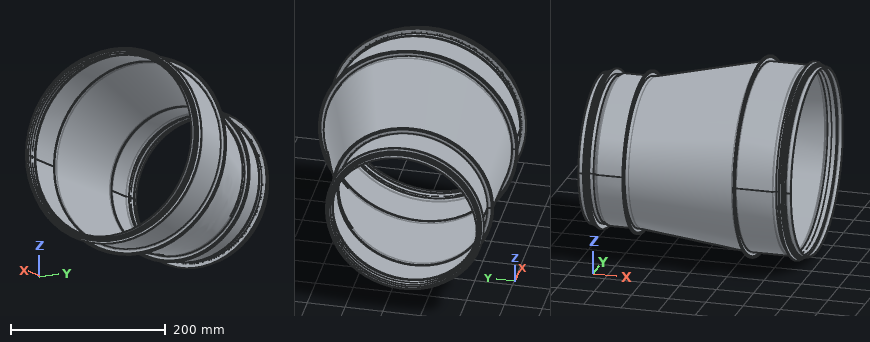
import cadquery as cq
import math


total_length = 286.2
sheet = 0.5
small_diameter = 198.95
large_diameter = 248.9
axis_offset = (large_diameter - small_diameter) / 2

small_collar_length = 62.1
large_collar_length = 74.7
rim_bend = 1.0
rim_straight = 0.125
groove_depth = 2.4
groove_wall_top = 6.3
groove_wall_foot = 7.9
groove_wall_bend = 0.75
ramp_start = 21.5
ramp_end = 24.7
ramp_bend = 1.5
seam_bend = 1.0
seam_gap = 0.1

seam_height = 7.25
cone_flange_height = 5.0
cone_flange_thickness = 2 * sheet

base_height = 0.6
web_height = 1.8
shoulder_height = 3.9
front_lip_height = 5.1
rear_lip_height = 7.6
gasket_start = 7.0
gasket_foot = 8.4
front_lip_start = 9.1
front_lip_end = 10.4
rear_lip_start = 13.4
rear_lip_end = 15.0
lip_lean = 0.6
gasket_end = 20.4

stub_length = 5.5
cone_start = small_collar_length
cone_end = total_length - large_collar_length
taper_start = cone_start + stub_length
taper_end = cone_end - stub_length


def bent_side(points, bends, offset):
    """Lay one side of a bent sheet, `offset` to the left of its mid line.

    Returns the first point, a [start, middle, end] arc for each bend, and the last point.
    """
    headings = []
    for (x0, y0), (x1, y1) in zip(points, points[1:]):
        headings.append(math.atan2(y1 - y0, x1 - x0))

    def shifted(point, heading, distance):
        return (point[0] - distance * math.sin(heading), point[1] + distance * math.cos(heading))

    corners = []
    for point, before, after, bend in zip(points[1:-1], headings, headings[1:], bends):
        turn = math.remainder(after - before, math.tau)
        side = math.copysign(1, turn)
        tangent = bend * math.tan(abs(turn) / 2)
        start = (point[0] - tangent * math.cos(before), point[1] - tangent * math.sin(before))
        centre = shifted(start, before, side * bend)
        reach = offset - side * bend
        arc = [shifted(centre, before + turn * part, reach) for part in (0, 0.5, 1)]
        corners.append(arc)
    first_point = shifted(points[0], headings[0], offset)
    last_point = shifted(points[-1], headings[-1], offset)
    return first_point, corners, last_point


def bent_sheet(points, bends):
    """Closed outline of a sheet whose mid line follows `points`, rounded by `bends`."""
    start, corners, end = bent_side(points, bends, sheet / 2)
    back_start, back_corners, back_end = bent_side(points, bends, -sheet / 2)
    outline = cq.Workplane("XY").moveTo(*start)
    for first, middle, last in corners:
        outline = outline.lineTo(*first).threePointArc(middle, last)
    outline = outline.lineTo(*end).lineTo(*back_end)
    for first, middle, last in reversed(back_corners):
        outline = outline.lineTo(*last).threePointArc(middle, first)
    return outline.lineTo(*back_start).close()


def spin(outline, angle=360):
    """Revolve an (axial, radial) outline about the X axis."""
    return outline.revolve(angle, (0, 0, 0), (1, 0, 0))


def collar(diameter, length):
    """Rolled sheet collar with its free end at X = 0 and its seam flange at X = length."""
    wall = (diameter - sheet) / 2
    floor = wall - groove_depth
    flange_middle = length - sheet / 2
    seam_top = diameter / 2 + seam_height
    cone_flange_top = diameter / 2 + cone_flange_height
    points = [
        (sheet / 2, wall - rim_bend - rim_straight),
        (sheet / 2, wall),
        (groove_wall_top, wall),
        (groove_wall_foot, floor),
        (ramp_start, floor),
        (ramp_end, wall),
        (flange_middle, wall),
        (flange_middle, seam_top),
    ]
    bends = [rim_bend, groove_wall_bend, groove_wall_bend, ramp_bend, ramp_bend, seam_bend]
    shell = bent_sheet(points, bends)
    rim = cq.Workplane("XY").polyline(
        [
            (length - sheet, cone_flange_top),
            (length + cone_flange_thickness, cone_flange_top),
            (length + cone_flange_thickness, seam_top),
            (length - sheet, seam_top),
        ]
    ).close()
    gap_angle = math.degrees(seam_gap / (diameter / 2))
    rolled = spin(shell, 360 - gap_angle).union(spin(rim, 360 - gap_angle))
    return rolled.rotate((0, 0, 0), (1, 0, 0), 180 + gap_angle / 2)


def gasket(diameter):
    """Rubber ring with two lips, lying in the groove of a collar whose free end is at X = 0."""
    floor = diameter / 2 - groove_depth
    wall_slope = groove_depth / (groove_wall_foot - groove_wall_top)
    toe_height = (gasket_foot - gasket_start) * wall_slope
    outline = cq.Workplane("XY").polyline(
        [
            (gasket_foot, floor),
            (gasket_start, floor + toe_height),
            (gasket_start, floor + shoulder_height),
            (front_lip_start, floor + shoulder_height),
            (front_lip_start + lip_lean, floor + front_lip_height),
            (front_lip_end + lip_lean, floor + front_lip_height),
            (front_lip_end, floor + web_height),
            (rear_lip_start, floor + web_height),
            (rear_lip_start + lip_lean, floor + rear_lip_height),
            (rear_lip_end + lip_lean, floor + rear_lip_height),
            (rear_lip_end, floor + base_height),
            (gasket_end, floor + base_height),
            (gasket_end, floor),
        ]
    ).close()
    return spin(outline)


def place_small(body):
    """Move a body onto the small end's axis."""
    return body.translate((0, -axis_offset, 0))


def place_large(body):
    """Turn a body to face +X and move it to the large end."""
    return body.mirror("YZ").translate((total_length, 0, 0))


def cone_fill(inset):
    """Solid cone with its two straight stubs, `inset` inside the outer surface."""
    small_radius = small_diameter / 2 - inset
    large_radius = large_diameter / 2 - inset
    small_stub = (
        cq.Workplane("YZ", origin=(cone_start, -axis_offset, 0)).circle(small_radius).extrude(stub_length)
    )
    large_stub = cq.Workplane("YZ", origin=(taper_end, 0, 0)).circle(large_radius).extrude(stub_length)
    taper = (
        cq.Workplane("YZ", origin=(taper_start, -axis_offset, 0))
        .circle(small_radius)
        .workplane(offset=taper_end - taper_start)
        .center(axis_offset, 0)
        .circle(large_radius)
        .loft(ruled=True)
    )
    return small_stub.union(taper).union(large_stub)


def cone_body():
    """Tapered sheet shell with a flange at each end."""
    small_flange = (
        cq.Workplane("YZ", origin=(cone_start, -axis_offset, 0))
        .circle(small_diameter / 2 + cone_flange_height)
        .extrude(cone_flange_thickness)
    )
    large_flange = (
        cq.Workplane("YZ", origin=(cone_end - cone_flange_thickness, 0, 0))
        .circle(large_diameter / 2 + cone_flange_height)
        .extrude(cone_flange_thickness)
    )
    return cone_fill(0).union(small_flange).union(large_flange).cut(cone_fill(sheet))


small_collar = place_small(collar(small_diameter, small_collar_length))
large_collar = place_large(collar(large_diameter, large_collar_length))
small_gasket = place_small(gasket(small_diameter))
large_gasket = place_large(gasket(large_diameter))
cone = cone_body()

result = cq.Compound.makeCompound(
    [small_collar.val(), large_collar.val(), small_gasket.val(), large_gasket.val(), cone.val()]
)